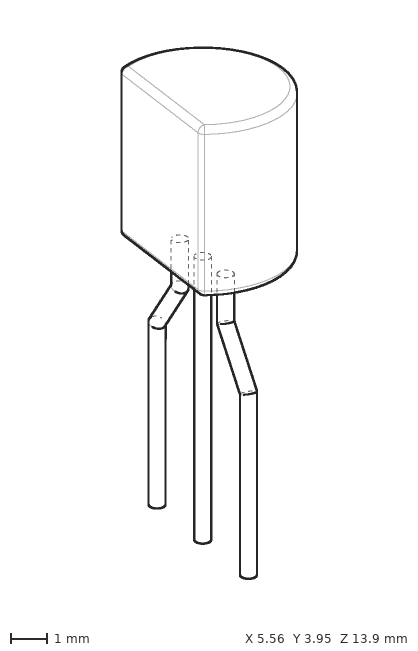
import cadquery as cq

body_radius = 2.6
body_height = 5.2
flat_distance = 1.35
edge_radius = 0.2

lead_diameter = 0.48
lead_length = 8.7
tip_radius = 0.05
inner_pitch = 1.27
outer_pitch = 2.54
upper_bend_depth = 1.48
lower_bend_depth = 3.1
lead_embed = 0.5


def make_body():
    flat_cut = (
        cq.Workplane("XY")
        .box(2 * body_radius, body_radius, body_height, centered=(True, False, False))
        .translate((0, -flat_distance - body_radius, 0))
    )
    body = cq.Workplane("XY").circle(body_radius).extrude(body_height).cut(flat_cut)
    return body.edges().fillet(edge_radius)


def make_lead(points):
    """Sweep a round wire along (x, z) points, mitred at each bend and rounded at its tip."""
    path = cq.Workplane("XZ").polyline(points)
    start_x, start_z = points[0]
    section = cq.Workplane("XY", origin=(start_x, 0, start_z)).circle(lead_diameter / 2)
    lead = section.sweep(path, transition="right")
    return lead.faces("<Z").edges().fillet(tip_radius)


result = make_body()
result = result.union(make_lead([(0, lead_embed), (0, -lead_length)]))
for side in (-1, 1):
    bent_path = [
        (side * inner_pitch, lead_embed),
        (side * inner_pitch, -upper_bend_depth),
        (side * outer_pitch, -lower_bend_depth),
        (side * outer_pitch, -lead_length),
    ]
    result = result.union(make_lead(bent_path))